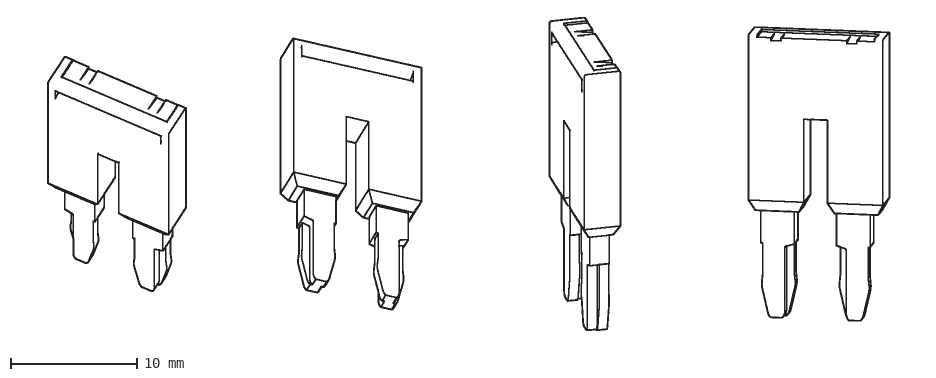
import cadquery as cq
import math

width = 10.8
depth = 3.0
height = 23.0

housing_bottom = 8.67
edge_radius = 0.2
leg_gap = 1.89
leg_gap_top = 16.3
leg_taper_height = 0.92
leg_taper_inset = 0.48

panel_width = 9.43
panel_length = 2.0
panel_drop = 0.18

notch_width = 0.8
notch_length = 1.45
notch_depth = 0.23

groove_bottom = 21.25
groove_top = 22.35
groove_depth = 0.8
groove_width = panel_width
groove_lip_radius = 0.2
floor_root_radius = 0.14
roof_root_radius = 0.2
roof_angle = math.radians(22)

pin_pitch = 6.1
pin_offset = 0.14
pin_centres = [pin_offset - pin_pitch / 2, pin_offset + pin_pitch / 2]
sheet_thickness = 0.8
shank_half_width = 1.35
waist_half_width = 1.2
bulge_half_width = 1.26
shoulder_z = 6.03
shoulder_slope = math.tan(math.radians(18))
bulge_start_z = 3.52
bulge_z = 2.88
taper_start_z = 2.25
taper_start_half_width = 1.22
taper_end_z = 0.37
taper_end_half_width = 0.78
tip_half_width = 0.55
narrow_half_width = 0.58
narrow_tip_half_width = 0.37
narrow_tip_z = 0.5
narrow_corner_radius = 0.2
narrow_tip_radius = 0.71


def make_housing():
    """Forked block with tapered leg ends and rounded long top edges."""
    taper_top = housing_bottom + leg_taper_height
    block = cq.Workplane("XY").box(width, depth, height - taper_top, centered=(True, True, False))
    gap = cq.Workplane("XY").box(leg_gap, depth, leg_gap_top - taper_top, centered=(True, True, False))
    forked = block.cut(gap).translate((0, 0, taper_top))
    housing = forked.faces(">Z").edges("|X").fillet(edge_radius)
    leg_width = (width - leg_gap) / 2
    leg_end = (
        cq.Workplane("XY")
        .rect(leg_width - 2 * leg_taper_inset, depth - 2 * leg_taper_inset)
        .workplane(offset=leg_taper_height)
        .rect(leg_width, depth)
        .loft()
    )
    for side in (-1, 1):
        leg_x = side * (leg_gap + leg_width) / 2
        housing = housing.union(leg_end.translate((leg_x, 0, housing_bottom)))
    return housing


def make_panel_recess():
    """Shallow pocket that leaves a rim at the front and both ends of the top."""
    recess = cq.Workplane("XY").box(panel_width, panel_length, panel_drop, centered=(True, False, False))
    return recess.translate((0, depth / 2 - panel_length, height - panel_drop))


def make_panel_notch(centre_x):
    """Wedge whose floor falls from the panel surface towards the back."""
    panel_z = height - panel_drop
    back = depth / 2
    return (
        cq.Workplane("YZ")
        .polyline([(back - notch_length, panel_z), (back, panel_z), (back, panel_z - notch_depth)])
        .close()
        .extrude(notch_width / 2, both=True)
        .translate((centre_x, 0, 0))
    )


def make_finger_groove():
    """Groove with a flat floor, a sloping roof and rounded lips and roots."""
    front = -depth / 2
    back_wall = front + groove_depth
    lip_centre_y = front + groove_lip_radius
    floor_z = groove_bottom + groove_lip_radius
    roof_run = groove_depth - (groove_lip_radius + roof_root_radius) * (1 - math.sin(roof_angle))
    roof_front_y = lip_centre_y - groove_lip_radius * math.sin(roof_angle)
    roof_front_z = groove_top - groove_lip_radius * math.cos(roof_angle)
    roof_back_y = roof_front_y + roof_run
    roof_back_z = roof_front_z - roof_run * math.tan(roof_angle)
    wall_top = roof_back_z - roof_root_radius * math.cos(roof_angle)
    return (
        cq.Workplane("YZ")
        .moveTo(front, groove_bottom)
        .radiusArc((lip_centre_y, floor_z), groove_lip_radius)
        .lineTo(back_wall - floor_root_radius, floor_z)
        .tangentArcPoint((back_wall, floor_z + floor_root_radius), relative=False)
        .lineTo(back_wall, wall_top)
        .tangentArcPoint((roof_back_y, roof_back_z), relative=False)
        .lineTo(roof_front_y, roof_front_z)
        .radiusArc((front, groove_top), groove_lip_radius)
        .close()
        .extrude(groove_width / 2, both=True)
    )


def make_sheet():
    """One pin sheet: full-width on its +X side, cut back on its -X side."""
    waist_z = shoulder_z - (shank_half_width - waist_half_width) * shoulder_slope
    corner_x = narrow_half_width + narrow_corner_radius
    corner_z = shoulder_z - (shank_half_width - corner_x) * shoulder_slope
    return (
        cq.Workplane("XZ")
        .moveTo(-shank_half_width, housing_bottom)
        .lineTo(shank_half_width, housing_bottom)
        .lineTo(shank_half_width, shoulder_z)
        .lineTo(waist_half_width, waist_z)
        .lineTo(waist_half_width, bulge_start_z)
        .lineTo(bulge_half_width, bulge_z)
        .tangentArcPoint((taper_start_half_width, taper_start_z), relative=False)
        .lineTo(taper_end_half_width, taper_end_z)
        .tangentArcPoint((tip_half_width, 0), relative=False)
        .lineTo(-narrow_tip_half_width, 0)
        .radiusArc((-narrow_half_width, narrow_tip_z), narrow_tip_radius)
        .lineTo(-narrow_half_width, corner_z - narrow_corner_radius)
        .tangentArcPoint((-corner_x, corner_z), relative=False)
        .lineTo(-shank_half_width, shoulder_z)
        .close()
        .extrude(sheet_thickness)
    )


def make_pin():
    """Two sheets back to back, the rear one turned half round about Z."""
    front_sheet = make_sheet()
    rear_sheet = front_sheet.rotate((0, 0, 0), (0, 0, 1), 180)
    return front_sheet.union(rear_sheet)


housing = make_housing().cut(make_panel_recess()).cut(make_finger_groove())
for pin_x in pin_centres:
    housing = housing.cut(make_panel_notch(pin_x))

left_pin = make_pin()
right_pin = left_pin.mirror("YZ")

result = housing
for pin, pin_x in zip([left_pin, right_pin], pin_centres):
    result = result.union(pin.translate((pin_x, 0, 0)))